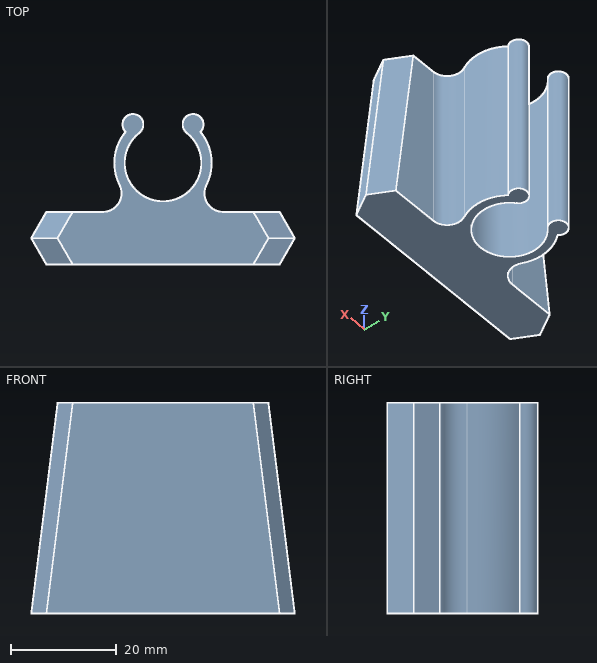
import cadquery as cq
import math

height = 40.0
plate_depth = 10.0
bottom_width = 50.0
top_width = 40.0
edge_slope = 30.0

bore_radius = 7.25
clip_wall = 2.0
clip_center_y = 19.25
bead_radius = 2.0
bead_x = 5.7
bead_y = 26.55
root_radius = 3.5

outer_radius = bore_radius + clip_wall


def plate_outline(width):
    """Corners of the hexagonal plate section whose points span the given width."""
    mid = plate_depth / 2
    point_x = width / 2
    face_x = point_x - mid * math.tan(math.radians(edge_slope))
    return [
        (-face_x, 0), (face_x, 0), (point_x, mid),
        (face_x, plate_depth), (-face_x, plate_depth), (-point_x, mid),
    ]


def make_plate():
    return (
        cq.Workplane("XY").polyline(plate_outline(bottom_width)).close()
        .workplane(offset=height).polyline(plate_outline(top_width)).close()
        .loft(ruled=True)
    )


def cylinder(x, y, radius):
    return cq.Workplane("XY").center(x, y).circle(radius).extrude(height)


def make_root():
    """Web under the ring, with concave arcs tangent to the plate and the ring."""
    blend_y = plate_depth + root_radius
    reach = outer_radius + root_radius
    blend_x = math.sqrt(reach**2 - (clip_center_y - blend_y) ** 2)
    web = (
        cq.Workplane("XY")
        .polyline([
            (-blend_x, plate_depth / 2), (blend_x, plate_depth / 2), (blend_x, blend_y),
            (0, clip_center_y), (-blend_x, blend_y),
        ])
        .close().extrude(height)
    )
    for side in (-1, 1):
        web = web.cut(cylinder(side * blend_x, blend_y, root_radius))
    return web


def make_mouth():
    """Wedge from the ring axis through the bead centers that opens the clip."""
    reach = 2.0
    return (
        cq.Workplane("XY").center(0, clip_center_y)
        .polyline([
            (0, 0),
            (reach * bead_x, reach * (bead_y - clip_center_y)),
            (-reach * bead_x, reach * (bead_y - clip_center_y)),
        ])
        .close().extrude(height)
    )


clip = cylinder(0, clip_center_y, outer_radius).union(make_root())
clip = clip.cut(cylinder(0, clip_center_y, bore_radius)).cut(make_mouth())
for side in (-1, 1):
    clip = clip.union(cylinder(side * bead_x, bead_y, bead_radius))

result = make_plate().union(clip)